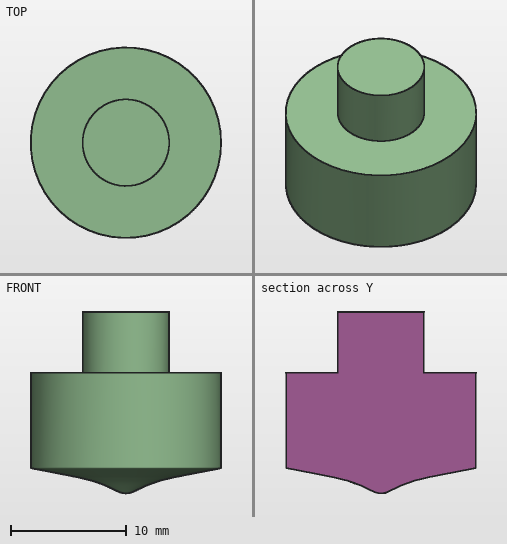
import cadquery as cq
import math

overall_height = 15.72
body_radius = 16.5 / 2
pin_radius = 7.5 / 2
pin_height = 5.25
rim_corner_depth = 8.28
rim_fillet = 0.1
cone_angle = math.radians(11)
blend_radius = 12.0
tip_radius = 1.5

tip_z = pin_height - overall_height
tip_center_z = tip_z + tip_radius
cone_apex_z = -rim_corner_depth - body_radius * math.tan(cone_angle)


def point_on_arc(center, radius, angle):
    """Point tilted from straight up towards the axis; a negative radius gives the opposite point."""
    return (center[0] - radius * math.sin(angle), center[1] + radius * math.cos(angle))


def find_blend():
    """Center of the blend arc and its steepest slope, tangent to cone and nose."""
    tip_above_cone = (tip_center_z - cone_apex_z) * math.cos(cone_angle)
    across = blend_radius + tip_above_cone
    along = math.sqrt((blend_radius + tip_radius) ** 2 - across ** 2)
    center_r = along * math.cos(cone_angle) + across * math.sin(cone_angle)
    center_z = tip_center_z + along * math.sin(cone_angle) - across * math.cos(cone_angle)
    steepest = math.asin(center_r / (blend_radius + tip_radius))
    return (center_r, center_z), steepest


def make_half_profile():
    """Half section in the XZ plane, from the nose out to the side wall and up the pin."""
    blend_center, nose_angle = find_blend()
    tip_center = (0, tip_center_z)
    nose_mid = point_on_arc(tip_center, -tip_radius, nose_angle / 2)
    nose_end = point_on_arc(tip_center, -tip_radius, nose_angle)
    blend_mid = point_on_arc(blend_center, blend_radius, (nose_angle + cone_angle) / 2)
    blend_end = point_on_arc(blend_center, blend_radius, cone_angle)

    fillet_tangent = rim_fillet * math.tan((math.pi / 2 - cone_angle) / 2)
    fillet_center = (body_radius - rim_fillet, -rim_corner_depth + fillet_tangent)
    fillet_start = point_on_arc(fillet_center, -rim_fillet, cone_angle)
    fillet_mid = point_on_arc(fillet_center, -rim_fillet, (cone_angle + math.pi / 2) / 2)
    fillet_end = point_on_arc(fillet_center, -rim_fillet, math.pi / 2)

    return (
        cq.Workplane("XZ")
        .moveTo(0, tip_z)
        .threePointArc(nose_mid, nose_end)
        .threePointArc(blend_mid, blend_end)
        .lineTo(*fillet_start)
        .threePointArc(fillet_mid, fillet_end)
        .lineTo(body_radius, 0)
        .lineTo(pin_radius, 0)
        .lineTo(pin_radius, pin_height)
        .lineTo(0, pin_height)
        .close()
    )


result = make_half_profile().revolve(360, (0, 0, 0), (0, 1, 0))